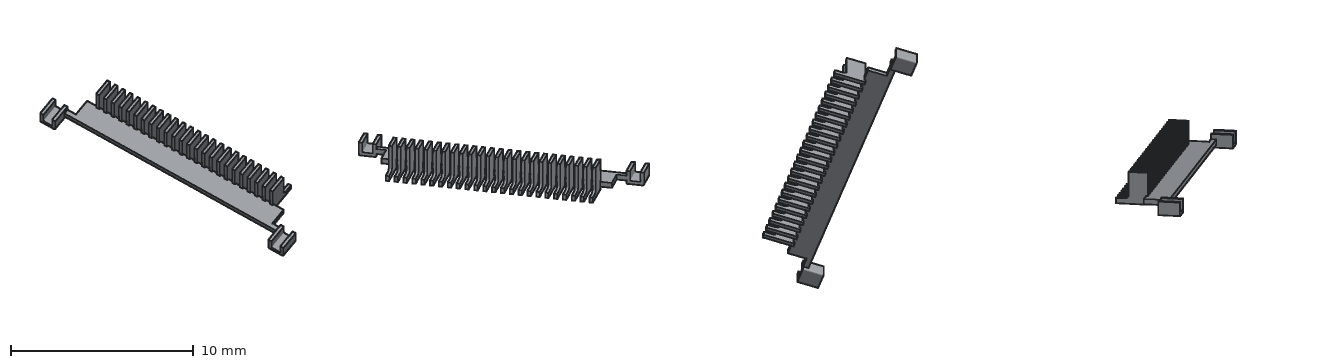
import cadquery as cq

TOTAL_LENGTH = 16.1
TOTAL_DEPTH = 4.0
TOTAL_HEIGHT = 1.8

CLIP_WIDTH = 1.0
CLIP_DEPTH = 1.2
CLIP_HEIGHT = 0.79
CLIP_WALL = 0.21
CLIP_OUTER_RADIUS = 0.1
CLIP_INNER_RADIUS = 0.05

PLATE_LENGTH = 13.01
PLATE_THICKNESS = 0.3
PLATE_BOTTOM = 0.2
PLATE_FRONT = 0.9
PLATE_BACK = 2.3

PIN_COUNT = 24
PIN_ROW_SPAN = 11.5
PIN_PITCH = PIN_ROW_SPAN / (PIN_COUNT - 1)
PIN_WIDTH = 0.2
PIN_FRONT = 2.2
PIN_UPRIGHT_DEPTH = 1.1
PIN_FOOT_HEIGHT = 0.3
PIN_FILLET = 0.2


def make_box(length, front, back, bottom, height):
    """Box centred on X, spanning front to back in Y and rising from bottom."""
    return (
        cq.Workplane("XY", origin=(0, (front + back) / 2, bottom))
        .box(length, back - front, height, centered=(True, True, False))
    )


def make_plate():
    body = make_box(PLATE_LENGTH, PLATE_FRONT, PLATE_BACK, PLATE_BOTTOM, PLATE_THICKNESS)
    strip_length = TOTAL_LENGTH - 2 * (CLIP_WIDTH - CLIP_WALL / 2)
    strip = make_box(strip_length, PLATE_FRONT, CLIP_DEPTH, PLATE_BOTTOM, PLATE_THICKNESS)
    return body.union(strip)


def make_clip(center_x):
    outside = make_box(CLIP_WIDTH, 0, CLIP_DEPTH, 0, CLIP_HEIGHT)
    outside = outside.edges("|Y and <Z").fillet(CLIP_OUTER_RADIUS)
    channel = make_box(CLIP_WIDTH - 2 * CLIP_WALL, 0, CLIP_DEPTH, CLIP_WALL, CLIP_HEIGHT)
    channel = channel.edges("|Y and <Z").fillet(CLIP_INNER_RADIUS)
    return outside.cut(channel).translate((center_x, 0, 0))


def make_pin():
    upright_back = PIN_FRONT + PIN_UPRIGHT_DEPTH
    return (
        cq.Workplane("YZ")
        .moveTo(PIN_FRONT, 0)
        .lineTo(TOTAL_DEPTH, 0)
        .lineTo(TOTAL_DEPTH, PIN_FOOT_HEIGHT)
        .lineTo(upright_back + PIN_FILLET, PIN_FOOT_HEIGHT)
        .radiusArc((upright_back, PIN_FOOT_HEIGHT + PIN_FILLET), PIN_FILLET)
        .lineTo(upright_back, TOTAL_HEIGHT)
        .lineTo(PIN_FRONT, TOTAL_HEIGHT)
        .close()
        .extrude(PIN_WIDTH / 2, both=True)
    )


result = make_plate()

clip_offset = (TOTAL_LENGTH - CLIP_WIDTH) / 2
for side in (-1, 1):
    result = result.union(make_clip(side * clip_offset))

pin = make_pin()
for index in range(PIN_COUNT):
    pin_x = index * PIN_PITCH - PIN_ROW_SPAN / 2
    result = result.union(pin.translate((pin_x, 0, 0)))